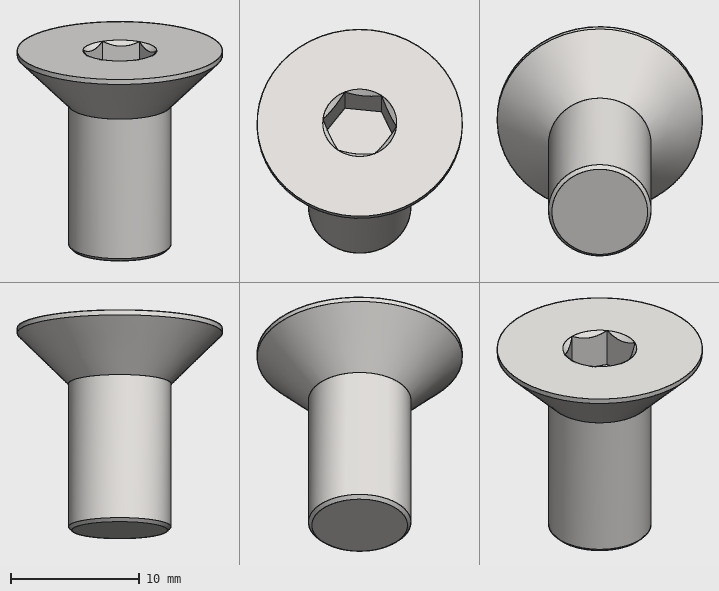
import cadquery as cq
import math

total_length = 16.0
head_diameter = 16.0
shank_diameter = 8.0
rim_height = 0.4
tip_chamfer = 0.27
socket_across_flats = 5.0
socket_depth = 3.04
socket_lead_in_angle = 45.0

head_radius = head_diameter / 2
shank_radius = shank_diameter / 2
cone_height = head_radius - shank_radius
rim_bottom = total_length - rim_height
cone_bottom = rim_bottom - cone_height
socket_across_corners = socket_across_flats / math.cos(math.radians(30))
socket_corner_radius = socket_across_corners / 2
lead_in_depth = socket_corner_radius * math.tan(math.radians(socket_lead_in_angle))


def screw_body():
    """Head and shank, revolved about Z with the tip on Z = 0."""
    return (
        cq.Workplane("XZ")
        .moveTo(0, 0)
        .lineTo(shank_radius - tip_chamfer, 0)
        .lineTo(shank_radius, tip_chamfer)
        .lineTo(shank_radius, cone_bottom)
        .lineTo(head_radius, rim_bottom)
        .lineTo(head_radius, total_length)
        .lineTo(0, total_length)
        .close()
        .revolve(360, (0, 0, 0), (0, 1, 0))
    )


def hex_socket():
    """Hexagonal recess with two corners on the Y axis."""
    return (
        cq.Workplane("XY")
        .workplane(offset=total_length - socket_depth)
        .transformed(rotate=(0, 0, 90))
        .polygon(6, socket_across_corners)
        .extrude(socket_depth)
    )


def socket_lead_in():
    """Conical lead-in whose rim passes through the hexagon corners."""
    return (
        cq.Workplane("XZ")
        .moveTo(0, total_length)
        .lineTo(socket_corner_radius, total_length)
        .lineTo(0, total_length - lead_in_depth)
        .close()
        .revolve(360, (0, 0, 0), (0, 1, 0))
    )


result = screw_body().cut(hex_socket()).cut(socket_lead_in())